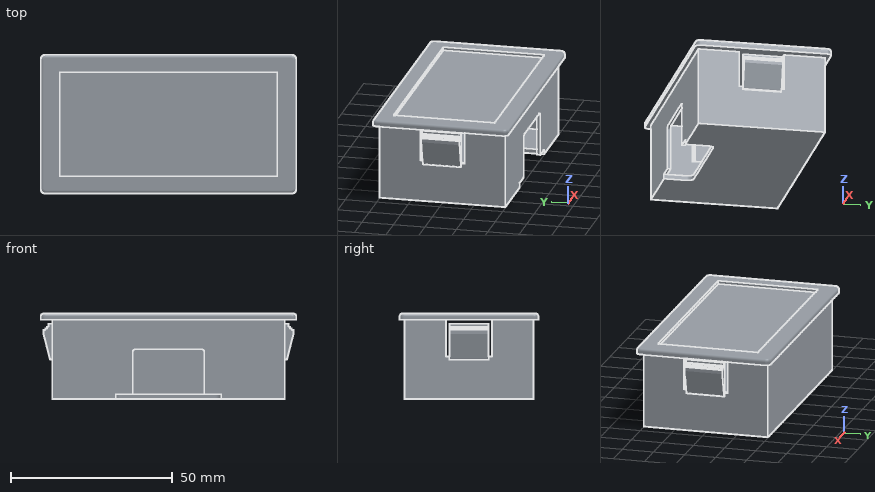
import cadquery as cq

bezel_length = 79.1
bezel_width = 43.0
total_height = 26.5
bezel_thickness = 2.05
bezel_corner_radius = 1.5
bezel_edge_radius = 1.0

display_length = 67.2
display_width = 32.1
display_depth = 1.0

body_length = 72.0
body_width = 40.0
wall = 1.0
floor_thickness = 1.5

opening_width = 22.2
opening_top = 15.4
opening_corner_radius = 1.0
notch_width = 32.5
notch_depth = 9.1
notch_corner_radius = 1.8

slot_width = 14.1
slot_bottom = 13.2
clip_width = 12.1
clip_top = 23.3
clip_bottom = 12.2
clip_toe_z = 12.65
clip_toe_reach = 0.8
clip_bottom_reach = 0.6
tip_reach = 2.7
tip_bottom = 20.1
tip_height = 1.3
tooth_run = 0.515
tooth_rise = 0.515
tooth_count = 3

body_height = total_height - bezel_thickness
front_face = -body_width / 2


def box(length, width, bottom, top):
    """Box centred on the Z axis between two heights."""
    blank = cq.Workplane("XY").box(length, width, top - bottom, centered=(True, True, False))
    return blank.translate((0, 0, bottom))


def make_bezel():
    bezel = box(bezel_length, bezel_width, body_height, total_height)
    bezel = bezel.edges("|Z").fillet(bezel_corner_radius)
    bezel = bezel.faces(">Z").edges().fillet(bezel_edge_radius)
    recess_floor = total_height - display_depth
    return bezel.cut(box(display_length, display_width, recess_floor, total_height))


def make_housing():
    housing = box(body_length, body_width, 0, body_height)
    cavity = box(body_length - 2 * wall, body_width - 2 * wall, floor_thickness, body_height)
    return housing.cut(cavity)


def make_cable_opening():
    opening = box(opening_width, 2 * wall, 0, opening_top)
    opening = opening.faces(">Z").edges("|Y").fillet(opening_corner_radius)
    return opening.translate((0, front_face, 0))


def make_floor_notch():
    notch = box(notch_width, 2 * notch_depth, 0, floor_thickness)
    notch = notch.edges("|Z").fillet(notch_corner_radius)
    return notch.translate((0, front_face, 0))


def make_clip():
    """Wedge clip on the +X end, stepped on top and joined to the wall at its toe below the slot."""
    outer_face = body_length / 2
    first_reach = tip_reach - tooth_count * tooth_run
    tip_top = tip_bottom + tip_height
    first_tread = tip_top + (tooth_count - 1) * tooth_rise

    profile = [(outer_face, clip_bottom), (outer_face, clip_top)]
    profile.append((outer_face + first_reach, clip_top))
    for tooth in range(tooth_count):
        tread = first_tread - tooth * tooth_rise
        reach = first_reach + tooth * tooth_run
        profile.append((outer_face + reach, tread))
        profile.append((outer_face + reach + tooth_run, tread))
    profile.append((outer_face + tip_reach, tip_bottom))
    profile.append((outer_face + clip_toe_reach, clip_toe_z))
    profile.append((outer_face + clip_bottom_reach, clip_bottom))
    return cq.Workplane("XZ").polyline(profile).close().extrude(clip_width / 2, both=True)


clip_slots = box(body_length, slot_width, slot_bottom, body_height)
clip = make_clip()

housing = make_housing().cut(make_cable_opening()).cut(make_floor_notch()).cut(clip_slots)
result = housing.union(make_bezel()).union(clip).union(clip.mirror("YZ"))